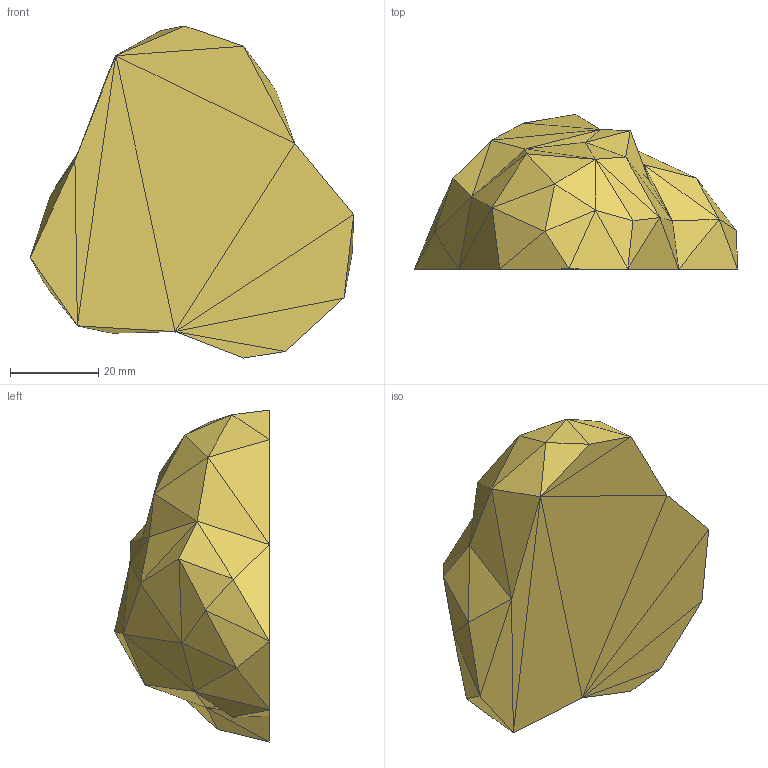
import cadquery as cq

width = 73.2
depth = 35.07
height = 75.14


def corner(x, y, z):
    return cq.Vector(x, y, z)


def rim_corner(x, z):
    """Corner of the flat back's outline."""
    return corner(x, 0, z)


rim_top = rim_corner(-1.6, height / 2)
rim_upper_right = rim_corner(11.7, 33.0)
rim_right_waist = rim_corner(23.25, 11.0)
rim_right = rim_corner(width / 2, -5.1)
rim_lower_right = rim_corner(34.4, -24.0)
rim_bottom_right = rim_corner(21.2, -36.1)
rim_bottom = rim_corner(11.7, -height / 2)
rim_bottom_waist = rim_corner(-3.85, -31.6)
rim_bottom_left = rim_corner(-25.95, -30.3)
rim_left = rim_corner(-width / 2, -14.8)
rim_left_waist = rim_corner(-26.5, 7.1)
rim_upper_left = rim_corner(-17.25, 30.85)

top_front = corner(-7.05, 8.5, 36.5)
top_middle = corner(4.4, 13.3, 34.9)
top_right = corner(12.9, 10.95, 31.1)
top_right_side = corner(18.95, 11.65, 23.05)
top_left_side = corner(-19.0, 13.9, 26.9)
top_crown = corner(-4.8, 19.25, 31.9)
top_shoulder_left = corner(-11.25, 26.1, 18.6)
top_shoulder_middle = corner(4.4, 24.85, 23.35)
top_shoulder_right = corner(11.25, 25.4, 14.75)

saddle_left = corner(-11.4, 27.2, 8.9)
saddle_middle = corner(2.05, 28.7, 8.6)
ridge_upper = corner(12.3, 31.4, 7.75)
ridge_lower = corner(5.5, 31.6, 2.65)
valley_upper = corner(16.55, 20.0, 5.9)
valley_middle = corner(15.35, 23.7, 0.15)
valley_lower = corner(9.0, 29.15, -10.9)

left_waist = corner(-23.55, 16.4, 12.4)
left_shoulder = corner(-27.85, 20.5, 3.9)
left_upper = corner(-32.05, 8.25, -0.7)
left_middle = corner(-30.65, 14.45, -7.7)
left_lower = corner(-33.4, 7.5, -20.8)
left_side = corner(-24.0, 19.8, -15.2)
left_crown_upper = corner(-19.15, 29.2, -1.6)
left_crown_lower = corner(-11.8, 33.1, -13.2)
summit = corner(-0.2, depth, -12.5)

under_crown = corner(-4.65, 28.2, -24.6)
under_left = corner(-15.55, 16.95, -26.15)
under_left_low = corner(-18.1, 8.35, -31.95)
under_hollow = corner(-5.65, 9.3, -29.1)
under_middle = corner(0.4, 14.3, -29.8)
under_right = corner(7.15, 20.25, -26.9)
under_right_low = corner(10.9, 11.65, -34.75)

right_waist = corner(21.8, 10.95, 9.2)
right_upper = corner(32.4, 11.3, -0.6)
right_crown = corner(27.15, 20.7, -8.85)
right_side = corner(36.25, 8.8, -14.0)


def facet(*corners):
    return cq.Face.makeFromWires(cq.Wire.makePolygon(corners, close=True))


def fan(hub, *ring):
    """Triangular facets joining a hub corner to each pair of neighbouring ring corners."""
    return [facet(hub, start, end) for start, end in zip(ring, ring[1:])]


def closed_fan(hub, *ring):
    """A fan whose ring runs all the way around the hub."""
    return fan(hub, *ring, ring[0])


def flat_back():
    return (
        fan(
            rim_upper_left,
            rim_top,
            rim_upper_right,
            rim_right_waist,
            rim_bottom_waist,
            rim_bottom_left,
            rim_left_waist,
        )
        + fan(
            rim_bottom_waist,
            rim_right_waist,
            rim_right,
            rim_lower_right,
            rim_bottom_right,
            rim_bottom,
        )
        + fan(rim_bottom_left, rim_left, rim_left_waist)
    )


def top_lobe():
    return (
        closed_fan(top_front, top_left_side, rim_upper_left, rim_top, top_middle, top_crown)
        + fan(rim_upper_right, rim_top, top_middle, top_right, top_right_side, rim_right_waist)
        + closed_fan(
            top_shoulder_middle,
            saddle_left,
            saddle_middle,
            top_shoulder_right,
            top_right_side,
            top_right,
            top_middle,
            top_crown,
            top_shoulder_left,
        )
        + fan(top_left_side, rim_upper_left, rim_left_waist)
        + fan(top_left_side, top_crown, top_shoulder_left)
    )


def ridge_and_valley():
    return (
        closed_fan(
            ridge_lower,
            valley_lower,
            summit,
            left_crown_lower,
            left_crown_upper,
            saddle_left,
            saddle_middle,
            ridge_upper,
        )
        + fan(ridge_upper, saddle_middle, top_shoulder_right, valley_upper)
        + fan(valley_lower, ridge_upper, valley_upper, valley_middle, right_crown)
        + fan(valley_lower, under_crown, summit)
    )


def left_lobe():
    return (
        closed_fan(
            left_waist,
            left_upper,
            rim_left_waist,
            top_left_side,
            top_shoulder_left,
            saddle_left,
            left_crown_upper,
            left_shoulder,
        )
        + closed_fan(left_middle, left_lower, left_side, left_shoulder, left_upper, rim_left)
        + fan(left_crown_upper, left_shoulder, left_side, left_crown_lower)
        + fan(rim_left, rim_left_waist, left_upper)
        + fan(rim_left, left_lower, rim_bottom_left)
    )


def underside():
    return (
        closed_fan(
            under_left,
            under_left_low,
            rim_bottom_left,
            left_lower,
            left_side,
            left_crown_lower,
            under_crown,
            under_middle,
            under_hollow,
        )
        + fan(
            rim_bottom_waist,
            rim_bottom_left,
            under_left_low,
            under_hollow,
            under_middle,
            rim_bottom,
        )
        + closed_fan(
            under_right,
            valley_lower,
            under_crown,
            under_middle,
            under_right_low,
            rim_lower_right,
            right_side,
            right_crown,
        )
        + fan(under_right_low, under_middle, rim_bottom, rim_bottom_right, rim_lower_right)
        + fan(under_crown, left_crown_lower, summit)
    )


def right_lobe():
    return (
        closed_fan(
            right_waist,
            right_upper,
            valley_middle,
            valley_upper,
            top_shoulder_right,
            top_right_side,
            rim_right_waist,
        )
        + fan(right_upper, valley_middle, right_crown, right_side, rim_right, rim_right_waist)
        + fan(right_side, rim_right, rim_lower_right)
    )


facets = (
    flat_back() + top_lobe() + ridge_and_valley() + left_lobe() + underside() + right_lobe()
)
rock = cq.Solid.makeSolid(cq.Shell.makeShell(facets))
result = cq.Workplane(obj=rock)